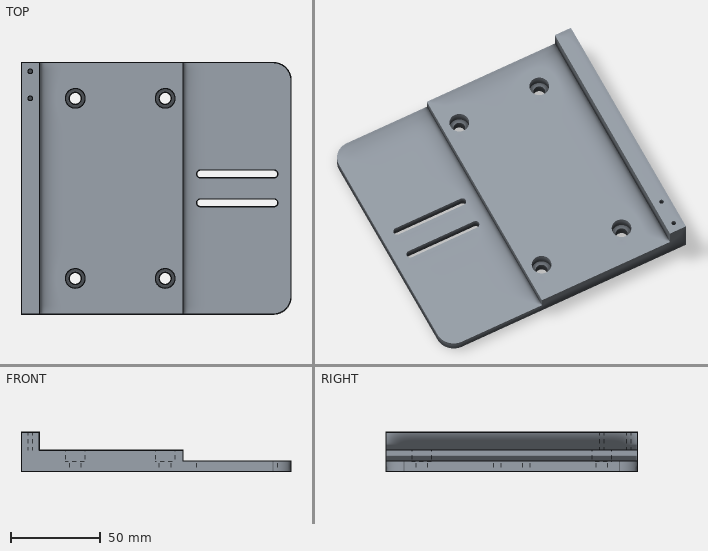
import cadquery as cq

length = 150.0
width = 140.0
lip_height = 22.0
lip_width = 10.0
pad_height = 12.0
pad_end = 90.0
tongue_height = 6.0
corner_radius = 10.0

mount_x = 30.0
mount_pitch_x = 50.0
mount_edge_offset = 20.0
mount_diameter = 6.6
counterbore_diameter = 11.0
counterbore_depth = 6.5

slot_center_x = 120.0
slot_length = 45.0
slot_width = 4.2
slot_pitch = 16.0

pin_diameter = 2.5
pin_depth = 10.0
pin_edge_offset = 5.0
pin_pitch = 15.0


def stepped_plate():
    """Extrude the three-level side profile and round the tongue corners."""
    profile = [
        (0, 0),
        (length, 0),
        (length, tongue_height),
        (pad_end, tongue_height),
        (pad_end, pad_height),
        (lip_width, pad_height),
        (lip_width, lip_height),
        (0, lip_height),
    ]
    plate = cq.Workplane("XZ").polyline(profile).close().extrude(-width)
    return plate.edges("|Z and >X").fillet(corner_radius)


def mounting_holes():
    points = [
        (x, y)
        for x in (mount_x, mount_x + mount_pitch_x)
        for y in (mount_edge_offset, width - mount_edge_offset)
    ]
    through = cq.Workplane("XY").pushPoints(points).circle(mount_diameter / 2).extrude(pad_height)
    counterbores = (
        cq.Workplane("XY", origin=(0, 0, pad_height))
        .pushPoints(points)
        .circle(counterbore_diameter / 2)
        .extrude(-counterbore_depth)
    )
    return through.union(counterbores)


def adjustment_slots():
    points = [(slot_center_x, width / 2 + side * slot_pitch / 2) for side in (-1, 1)]
    return cq.Workplane("XY").pushPoints(points).slot2D(slot_length, slot_width).extrude(tongue_height)


def pin_holes():
    first_y = width - pin_edge_offset
    points = [(lip_width / 2, first_y), (lip_width / 2, first_y - pin_pitch)]
    return (
        cq.Workplane("XY", origin=(0, 0, lip_height))
        .pushPoints(points)
        .circle(pin_diameter / 2)
        .extrude(-pin_depth)
    )


result = stepped_plate().cut(mounting_holes()).cut(adjustment_slots()).cut(pin_holes())